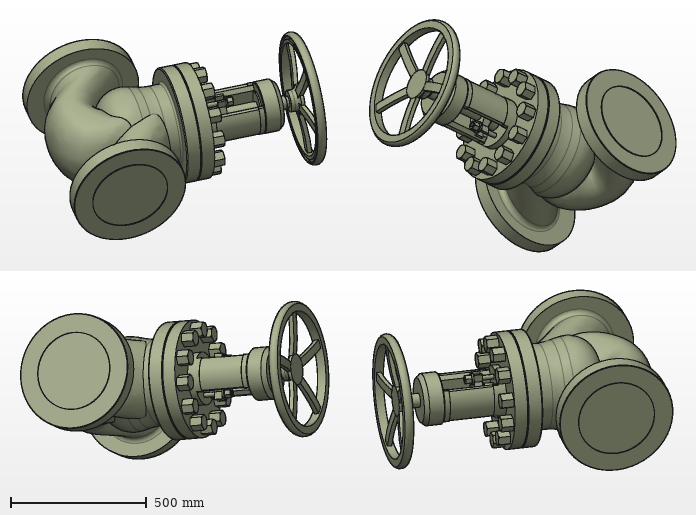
import cadquery as cq
import math


FACE_TO_FACE = 650.0
PIPE_FLANGE_R = 215.0
PIPE_FLANGE_THICK = 57.0
RAISED_FACE_R = 144.0
RAISED_FACE_HEIGHT = 3.5
PIPE_FLANGE_CHAMFER = 2.0
FLANGE_BACK_X = FACE_TO_FACE / 2 - RAISED_FACE_HEIGHT - PIPE_FLANGE_THICK
FLANGE_NECK_FILLET = 18.0

INLET_HALF_WIDTH = 150.0
ELBOW_HALF_WIDTH = 154.0
ELBOW_END_HALF_WIDTH = 146.0
ELBOW_X = -31.0
ELBOW_Y = 25.6
ELBOW_R = 231.0
ELBOW_ANGLES = (-98, -65, -35)
ELBOW_INNER = ((-92, 8), (-70, 24), (-50, 40))
OUTLET_HALF_WIDTH = 147.0
OUTLET_HALF_HEIGHT = 129.0
OUTLET_RUN = 195.0
OUTLET_RISE = 155.0
OUTLET_FLANGE_END_Y = -5.0

BULB_ARC_R = 110.0
BULB_CONE_R = 174.0
BULB_CONE_Y = 119.0
BULB_CONE_TOP_Y = 153.0
BULB_CONE_ANGLE = 13.0
NECK_R = 159.5
NECK_BOTTOM_Y = 200.0
NECK_FILLET = 8.0

JOINT_R = 217.5
BODY_FLANGE_Y = 252.0
JOINT_Y = 307.5
BONNET_TOP_Y = 358.5
JOINT_GAP = 4.0
JOINT_GAP_DEPTH = 3.0
JOINT_CHAMFER = 4.0

NUT_COUNT = 12
NUT_CIRCLE_R = 180.0
NUT_ACROSS_FLATS = 52.0
NUT_HEIGHT = 45.5
NUT_CHAMFER = 3.0

YOKE_R = 97.5
YOKE_BASE_TOP_Y = 385.0
YOKE_HALF_WIDTH = 60.0
YOKE_PAD_HALF_WIDTH = 63.0
YOKE_PAD_HEIGHT = 20.0
YOKE_LEG_RELIEF = 1.0
YOKE_RING_HEIGHT = 6.0
YOKE_WINDOW_HALF = 47.0
YOKE_INNER_CHAMFER = 14.0
HEAD_BOTTOM_Y = 593.0
HEAD_TOP_Y = 668.5
HEAD_CHAMFER_R = 14.0
HEAD_CHAMFER_Y = 17.0
HEAD_RIM_CHAMFER = 3.0

STEM_R = 26.0
STEM_TOP_Y = 698.0
STEM_TIP_R = 22.0
GLAND_BOTTOM_Y = 432.5
GLAND_TOP_Y = 463.5
GLAND_HALF_WIDTH = 52.0
GLAND_EAR_START_Z = 58.0
GLAND_HALF_LENGTH = 86.0
GLAND_EAR_WIDTH = 41.0
GLAND_COLLAR_R = 39.0
GLAND_COLLAR_BOTTOM_Y = 422.0
GLAND_SLEEVE_R = 34.5
GLAND_BOLT_Z = 62.5
GLAND_BOLT_R = 9.0
GLAND_SLOT_WIDTH = 22.0
GLAND_BOLT_TOP_Y = 496.0
WASHER_R = 22.0
WASHER_THICK = 7.0
GLAND_NUT_FLATS = 30.0
GLAND_NUT_HEIGHT = 23.0
GLAND_NUT_TURN = 30.0

WHEEL_X = 4.5
WHEEL_Z = 5.0
WHEEL_R = 250.0
WHEEL_TOP_Y = 781.19
RIM_THICK = 34.0
RIM_WIDTH = 37.0
RIM_GROOVE_OUTER_R = 237.0
RIM_GROOVE_INNER_R = 226.0
RIM_GROOVE_DEPTH = 8.0
RIM_ROUND = 9.0
SPOKE_COUNT = 5
SPOKE_WIDTH = 34.0
SPOKE_THICK = 17.0
SPOKE_ROOT_R = 20.0
SPOKE_ROOT_Y = 730.0
SPOKE_MIDDLE_R = 93.0
SPOKE_MIDDLE_Y = 746.0
SPOKE_END_Y = 757.0
SPOKE_RIM_OVERLAP = 5.0
HUB_R = 40.0
HUB_BOTTOM_Y = 708.5
HUB_FLARE_Y = 723.0
HUB_FLARE_HEIGHT = 20.0
HUB_TOP_Y = 756.0
HUB_TOP_R = 57.0


def across_corners(across_flats):
    return across_flats / math.cos(math.pi / 6)


def plane_at(y, x=0.0, z=0.0):
    """Workplane facing +Y at height y; its local axes are +X and -Z."""
    return cq.Workplane(cq.Plane(origin=(x, y, z), xDir=(1, 0, 0), normal=(0, 1, 0)))


def disc(radius, bottom, top, x=0.0, z=0.0):
    return plane_at(bottom, x, z).circle(radius).extrude(top - bottom)


def block(half_x, half_z, bottom, top):
    return plane_at(bottom).rect(2 * half_x, 2 * half_z).extrude(top - bottom)


def passage_section(lower, upper, half_width):
    """Ellipse with one axis running from lower to upper in the XY plane."""
    low = cq.Vector(*lower)
    high = cq.Vector(*upper)
    chord = high - low
    normal = cq.Vector(chord.y, -chord.x, 0)
    edge = cq.Edge.makeEllipse(
        chord.Length / 2, half_width, (low + high) * 0.5, normal, chord.normalized()
    )
    return cq.Wire.assembleEdges([edge])


def pipe_flange(side):
    """Flange with raised face; side is -1 for the inlet and +1 for the outlet."""
    flange = (
        cq.Workplane("YZ")
        .circle(PIPE_FLANGE_R)
        .extrude(PIPE_FLANGE_THICK)
        .faces(">X")
        .chamfer(PIPE_FLANGE_CHAMFER)
        .faces(">X")
        .workplane()
        .circle(RAISED_FACE_R)
        .extrude(RAISED_FACE_HEIGHT)
    )
    if side < 0:
        flange = flange.mirror("YZ")
    return flange.translate((side * FLANGE_BACK_X, 0, 0))


def fillet_flange_neck(body, side):
    """Blend the passage into the back of its flange."""
    reach = PIPE_FLANGE_R - 1
    ends = sorted((side * (FLANGE_BACK_X - 1), side * (FLANGE_BACK_X + 1)))
    root = cq.selectors.BoxSelector(
        (ends[0], -reach, -reach), (ends[1], reach, reach), boundingbox=True
    )
    return body.edges(root).fillet(FLANGE_NECK_FILLET)


def inlet():
    """Passage that leaves the inlet flange, dips and curls up under the bulb."""
    sections = [
        passage_section((-FLANGE_BACK_X, -128), (-FLANGE_BACK_X, 133), INLET_HALF_WIDTH),
        passage_section((-152, -175), (-190, 79), INLET_HALF_WIDTH),
    ]
    for angle, inner in zip(ELBOW_ANGLES, ELBOW_INNER):
        outer = (
            ELBOW_X + ELBOW_R * math.cos(math.radians(angle)),
            ELBOW_Y + ELBOW_R * math.sin(math.radians(angle)),
        )
        sections.append(passage_section(outer, inner, ELBOW_HALF_WIDTH))
    sections.append(passage_section((160, 105), (-38, 75), ELBOW_END_HALF_WIDTH))
    tube = cq.Workplane(cq.Solid.makeLoft(sections))
    return fillet_flange_neck(tube.union(pipe_flange(-1)), -1)


def outlet():
    """Straight slanted passage from the bulb down to the outlet flange."""
    start_x = FLANGE_BACK_X - OUTLET_RUN
    sections = [
        passage_section(
            (x, y - OUTLET_HALF_HEIGHT), (x, y + OUTLET_HALF_HEIGHT), OUTLET_HALF_WIDTH
        )
        for x, y in (
            (start_x, OUTLET_FLANGE_END_Y + OUTLET_RISE),
            (FLANGE_BACK_X, OUTLET_FLANGE_END_Y),
        )
    ]
    tube = cq.Workplane(cq.Solid.makeLoft(sections, True))
    return fillet_flange_neck(tube.union(pipe_flange(1)), 1)


def bulb():
    """Body of revolution: bulging bowl, short cone, concave blend and straight neck."""
    slope = math.radians(BULB_CONE_ANGLE)
    arc_r = BULB_CONE_R - BULB_ARC_R * math.cos(slope)
    arc_y = BULB_CONE_Y - BULB_ARC_R * math.sin(slope)
    cone_top_r = BULB_CONE_R - (BULB_CONE_TOP_Y - BULB_CONE_Y) * math.tan(slope)
    return (
        cq.Workplane("XY")
        .moveTo(0, arc_y - BULB_ARC_R)
        .lineTo(arc_r, arc_y - BULB_ARC_R)
        .threePointArc((arc_r + BULB_ARC_R, arc_y), (BULB_CONE_R, BULB_CONE_Y))
        .lineTo(cone_top_r, BULB_CONE_TOP_Y)
        .tangentArcPoint((NECK_R, NECK_BOTTOM_Y), relative=False)
        .lineTo(NECK_R, BODY_FLANGE_Y - NECK_FILLET)
        .radiusArc((NECK_R + NECK_FILLET, BODY_FLANGE_Y), NECK_FILLET)
        .lineTo(0, BODY_FLANGE_Y)
        .close()
        .revolve(360, (0, 0, 0), (0, 1, 0))
    )


def bonnet_joint():
    """Body flange and bonnet flange with a recessed gasket line, and the yoke base."""
    body_flange = disc(JOINT_R, BODY_FLANGE_Y, JOINT_Y - JOINT_GAP / 2)
    body_flange = body_flange.faces("<Y").chamfer(JOINT_CHAMFER)
    bonnet_flange = disc(JOINT_R, JOINT_Y + JOINT_GAP / 2, BONNET_TOP_Y)
    gasket = disc(JOINT_R - JOINT_GAP_DEPTH, JOINT_Y - JOINT_GAP, JOINT_Y + JOINT_GAP)
    base = disc(YOKE_R, BONNET_TOP_Y, YOKE_BASE_TOP_Y)
    return body_flange.union(bonnet_flange).union(gasket).union(base)


def rounded_nut(flats, bottom, height, chamfer):
    """Hexagonal nut whose top corners are turned off by a cone."""
    corners = across_corners(flats)
    turned = disc(corners / 2, bottom, bottom + height).faces(">Y").chamfer(chamfer)
    return plane_at(bottom).polygon(6, corners).extrude(height).intersect(turned)


def cover_nuts():
    """Nuts between the pitch lines; every nut is turned with its place on the circle."""
    pitch = 360.0 / NUT_COUNT
    nut = rounded_nut(NUT_ACROSS_FLATS, BONNET_TOP_Y, NUT_HEIGHT, NUT_CHAMFER)
    nut = nut.rotate((0, 0, 0), (0, 1, 0), -pitch / 2).translate((0, 0, NUT_CIRCLE_R))
    nuts = cq.Workplane()
    for i in range(NUT_COUNT):
        nuts = nuts.add(nut.rotate((0, 0, 0), (0, 1, 0), (i + 0.5) * pitch))
    return nuts.combine()


def yoke():
    """Two legs with pads at both ends, carrying the round yoke head."""
    bottom = YOKE_BASE_TOP_Y
    legs = block(YOKE_R, YOKE_HALF_WIDTH, bottom, HEAD_BOTTOM_Y).intersect(
        disc(YOKE_R - YOKE_LEG_RELIEF, bottom, HEAD_BOTTOM_Y)
    )
    for low in (bottom, HEAD_BOTTOM_Y - YOKE_PAD_HEIGHT):
        legs = legs.union(block(YOKE_R, YOKE_PAD_HALF_WIDTH, low, low + YOKE_PAD_HEIGHT))
    legs = legs.intersect(disc(YOKE_R, bottom, HEAD_BOTTOM_Y))
    flared = YOKE_WINDOW_HALF + YOKE_INNER_CHAMFER
    straight = YOKE_HALF_WIDTH - YOKE_INNER_CHAMFER
    for side in (1, -1):
        window = (
            plane_at(bottom)
            .polyline(
                [
                    (-YOKE_WINDOW_HALF, 0),
                    (-YOKE_WINDOW_HALF, side * straight),
                    (-flared, side * YOKE_HALF_WIDTH),
                    (-flared, side * YOKE_R),
                    (flared, side * YOKE_R),
                    (flared, side * YOKE_HALF_WIDTH),
                    (YOKE_WINDOW_HALF, side * straight),
                    (YOKE_WINDOW_HALF, 0),
                ]
            )
            .close()
            .extrude(HEAD_BOTTOM_Y - bottom)
        )
        legs = legs.cut(window)
    head = (
        cq.Workplane("XY")
        .moveTo(0, HEAD_BOTTOM_Y)
        .lineTo(YOKE_R - HEAD_RIM_CHAMFER, HEAD_BOTTOM_Y)
        .lineTo(YOKE_R, HEAD_BOTTOM_Y + HEAD_RIM_CHAMFER)
        .lineTo(YOKE_R, HEAD_TOP_Y - HEAD_CHAMFER_Y)
        .lineTo(YOKE_R - HEAD_CHAMFER_R, HEAD_TOP_Y)
        .lineTo(0, HEAD_TOP_Y)
        .close()
        .revolve(360, (0, 0, 0), (0, 1, 0))
    )
    ring = disc(YOKE_PAD_HALF_WIDTH, HEAD_BOTTOM_Y - YOKE_RING_HEIGHT, HEAD_BOTTOM_Y)
    return legs.union(ring).union(head)


def stem():
    tip = disc(STEM_TIP_R, STEM_TOP_Y, HUB_BOTTOM_Y)
    return disc(STEM_R, YOKE_BASE_TOP_Y, STEM_TOP_Y).union(tip)


def gland():
    """Lozenge gland flange with slotted ears, its sleeve and two bolts with nuts."""
    ear = GLAND_EAR_WIDTH / 2
    thickness = GLAND_TOP_Y - GLAND_BOTTOM_Y
    lozenge = [
        (GLAND_HALF_WIDTH, 0),
        (ear, GLAND_EAR_START_Z),
        (-ear, GLAND_EAR_START_Z),
        (-GLAND_HALF_WIDTH, 0),
        (-ear, -GLAND_EAR_START_Z),
        (ear, -GLAND_EAR_START_Z),
    ]
    flange = plane_at(GLAND_BOTTOM_Y).polyline(lozenge).close().extrude(thickness)
    flange = flange.union(block(ear, GLAND_HALF_LENGTH, GLAND_BOTTOM_Y, GLAND_TOP_Y))
    flange = flange.union(disc(GLAND_COLLAR_R, GLAND_COLLAR_BOTTOM_Y, GLAND_BOTTOM_Y))
    flange = flange.union(disc(GLAND_SLEEVE_R, YOKE_BASE_TOP_Y, GLAND_COLLAR_BOTTOM_Y))
    nut_bottom = GLAND_TOP_Y + WASHER_THICK
    slot_length = 2 * (GLAND_HALF_LENGTH - GLAND_BOLT_Z)
    nut = rounded_nut(GLAND_NUT_FLATS, nut_bottom, GLAND_NUT_HEIGHT, NUT_CHAMFER / 2)
    nut = nut.rotate((0, 0, 0), (0, 1, 0), GLAND_NUT_TURN)
    for side in (1, -1):
        z = side * GLAND_BOLT_Z
        slot = (
            plane_at(GLAND_BOTTOM_Y, z=side * GLAND_HALF_LENGTH)
            .rect(GLAND_SLOT_WIDTH, slot_length)
            .extrude(thickness)
        )
        flange = (
            flange.cut(slot)
            .union(disc(GLAND_BOLT_R, YOKE_BASE_TOP_Y, GLAND_BOLT_TOP_Y, z=z))
            .union(disc(WASHER_R, GLAND_TOP_Y, nut_bottom, z=z))
            .union(nut.translate((0, 0, z)))
        )
    return flange


def wheel_rim():
    """Rim with a rounded outside and a groove in its lower face."""
    rim_bottom = WHEEL_TOP_Y - RIM_THICK
    groove_top = rim_bottom + RIM_GROOVE_DEPTH
    shoulder = WHEEL_R - RIM_ROUND
    rim = (
        cq.Workplane("XY")
        .moveTo(0, rim_bottom)
        .lineTo(shoulder, rim_bottom)
        .threePointArc((WHEEL_R, WHEEL_TOP_Y - RIM_THICK / 2), (shoulder, WHEEL_TOP_Y))
        .lineTo(0, WHEEL_TOP_Y)
        .close()
        .revolve(360, (0, 0, 0), (0, 1, 0))
        .cut(disc(WHEEL_R - RIM_WIDTH, rim_bottom, WHEEL_TOP_Y))
    )
    groove = disc(RIM_GROOVE_OUTER_R, rim_bottom, groove_top).cut(
        disc(RIM_GROOVE_INNER_R, rim_bottom, groove_top)
    )
    return rim.cut(groove)


def wheel_hub():
    return (
        cq.Workplane("XY")
        .moveTo(0, HUB_BOTTOM_Y)
        .lineTo(HUB_R, HUB_BOTTOM_Y)
        .lineTo(HUB_R, HUB_FLARE_Y)
        .tangentArcPoint((HUB_TOP_R, HUB_FLARE_Y + HUB_FLARE_HEIGHT), relative=False)
        .lineTo(HUB_TOP_R, HUB_TOP_Y)
        .lineTo(0, HUB_TOP_Y)
        .close()
        .revolve(360, (0, 0, 0), (0, 1, 0))
    )


def wheel_spoke():
    """Curved spoke along +X that rises from the hub to the rim."""
    end_r = WHEEL_R - RIM_WIDTH + SPOKE_RIM_OVERLAP
    return (
        cq.Workplane("XY", origin=(0, 0, -SPOKE_WIDTH / 2))
        .moveTo(SPOKE_ROOT_R, SPOKE_ROOT_Y)
        .threePointArc((SPOKE_MIDDLE_R, SPOKE_MIDDLE_Y), (end_r, SPOKE_END_Y))
        .lineTo(end_r, SPOKE_END_Y + SPOKE_THICK)
        .threePointArc(
            (SPOKE_MIDDLE_R, SPOKE_MIDDLE_Y + SPOKE_THICK),
            (SPOKE_ROOT_R, SPOKE_ROOT_Y + SPOKE_THICK),
        )
        .close()
        .extrude(SPOKE_WIDTH)
    )


def handwheel():
    wheel = wheel_rim().union(wheel_hub())
    spoke = wheel_spoke()
    for i in range(SPOKE_COUNT):
        wheel = wheel.union(spoke.rotate((0, 0, 0), (0, 1, 0), i * 360.0 / SPOKE_COUNT))
    return wheel.translate((WHEEL_X, 0, WHEEL_Z))


def casing():
    """Inlet, bulb and outlet joined into one body."""
    return inlet().union(bulb()).union(outlet())


result = casing()
for piece in (bonnet_joint(), cover_nuts(), yoke(), stem(), gland(), handwheel()):
    result = result.union(piece)